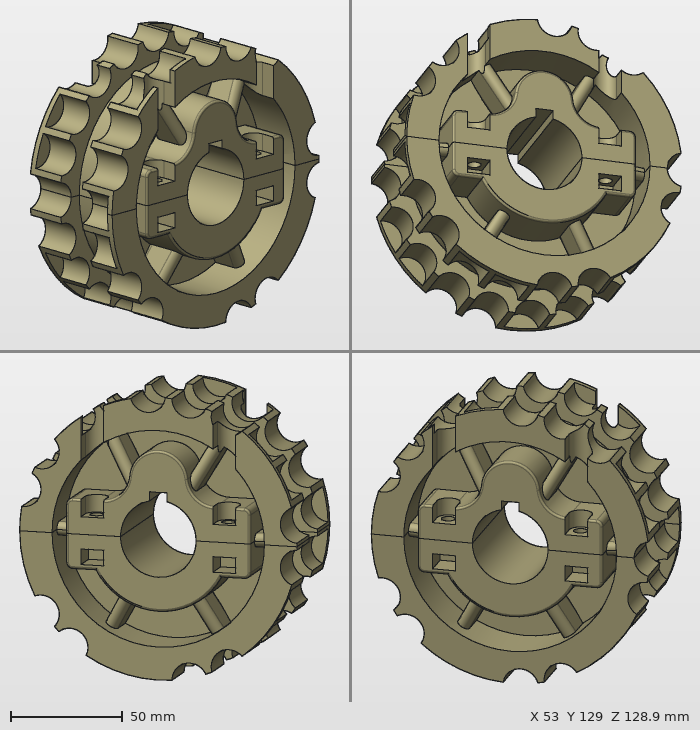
import cadquery as cq
import math


width = 53.0
rim_radius = 64.5
groove_radius = 52.5
groove_width = 13.8
inner_radius = 49.4
web_thickness = 7.5

pocket_count = 21
pocket_pitch = 360 / pocket_count
first_pocket_angle = pocket_pitch / 4
pocket_radius = 8.3
pocket_center_radius = 65.8
pocket_wall = 3.0

dome_top = 40.1
dome_radius = 13.5
neck_radius = 13.0
belly_radius = 33.3
lug_reach = 42.8
lug_height = 16.0
lug_corner_radius = 2.8
hub_edge_radius = 1.0

bore_radius = 17.5
keyway_width = 8.1
keyway_top = 21.2

bolt_offset = 30.7
slot_width = 10.6
slot_depth = 12.4
seat_height = 8.0
bolt_hole_radius = 3.1
nut_slot_top = -6.7
nut_slot_bottom = -13.8

rib_count = 6
first_rib_angle = 30
rib_thickness = 6.2
rib_reach = 18.6
rib_slope = 10

half_width = width / 2
slot_radius = slot_width / 2
bolt_x = half_width - slot_depth + slot_radius
bolt_places = [(side, side * bolt_x, y) for side in (-1, 1) for y in (-bolt_offset, bolt_offset)]


def disc(radius, length):
    """Disc around the X axis, centered on X = 0."""
    return cq.Workplane("YZ", origin=(-length / 2, 0, 0)).circle(radius).extrude(length)


def ring(outer, inner, length):
    return disc(outer, length).cut(disc(inner, length))


def make_pocket(number):
    """Round tooth pocket: the top one runs through both flanges, the rest stop at a wall on one side.

    After the top pocket, two pockets closed on the +X side alternate with two closed on the -X side.
    """
    start = -half_width
    end = half_width
    if number > 0 and number % 4 in (1, 2):
        end -= pocket_wall
    elif number > 0:
        start += pocket_wall
    pocket = (
        cq.Workplane("YZ", origin=(start, 0, 0))
        .center(pocket_center_radius, 0)
        .circle(pocket_radius)
        .extrude(end - start)
    )
    angle = 90 + first_pocket_angle + number * pocket_pitch
    return pocket.rotate((0, 0, 0), (1, 0, 0), angle)


def make_bolt_slot(side, x, y, bottom, top):
    """Vertical U-shaped slot around a bolt axis, open at the end face on the given side."""
    height = top - bottom
    round_end = cq.Workplane("XY", origin=(x, y, bottom)).circle(slot_radius).extrude(height)
    mouth_length = half_width - bolt_x
    mouth = (
        cq.Workplane("XY", origin=(x + side * mouth_length / 2, y, bottom))
        .rect(mouth_length, slot_width)
        .extrude(height)
    )
    return round_end.union(mouth)


def make_rim():
    """Flanges with tooth pockets and a groove between them, closed inside by the web."""
    rim = ring(rim_radius, inner_radius, width)
    rim = rim.cut(ring(rim_radius, groove_radius, groove_width))
    for number in range(pocket_count):
        rim = rim.cut(make_pocket(number))
    return rim.union(disc(inner_radius, web_thickness))


def make_rib(side, angle):
    """Rib on one side of the web, turned by an angle from +Z.

    Its round tip reaches rib_reach from the middle plane at the rim and further toward the hub.
    """
    tip_x = side * (rib_reach - rib_thickness / 2)
    rib = (
        cq.Workplane("XY", origin=(0, 0, bore_radius))
        .center(side * rib_reach / 2, 0)
        .slot2D(rib_reach, rib_thickness)
        .extrude(groove_radius - bore_radius)
    )
    rib = rib.rotate((tip_x, 0, inner_radius), (tip_x, 1, inner_radius), -side * rib_slope)
    return rib.rotate((0, 0, 0), (1, 0, 0), angle)


def make_ribs():
    """Radial ribs on both sides of the web, ending inside the rim."""
    ribs = cq.Workplane("XY")
    for number in range(rib_count):
        for side in (-1, 1):
            ribs = ribs.add(make_rib(side, first_rib_angle + number * 360 / rib_count))
    rib_end_radius = (inner_radius + groove_radius) / 2
    return ribs.combine().intersect(disc(rib_end_radius, width))


def make_hub():
    """Solid hub over the full width, with rounded lug corners and rounded edges at the end faces."""
    dome_z = dome_top - dome_radius
    neck_z = lug_height + neck_radius
    center_distance = dome_radius + neck_radius
    neck_y = math.sqrt(center_distance**2 - (neck_z - dome_z) ** 2)
    joint_y = neck_y * dome_radius / center_distance
    joint_z = dome_z + (neck_z - dome_z) * dome_radius / center_distance
    belly_y = math.sqrt(belly_radius**2 - lug_height**2)

    outline = (
        cq.Workplane("YZ", origin=(-half_width, 0, 0))
        .moveTo(-joint_y, joint_z)
        .threePointArc((0, dome_top), (joint_y, joint_z))
        .tangentArcPoint((neck_y, lug_height), relative=False)
        .lineTo(lug_reach, lug_height)
        .lineTo(lug_reach, -lug_height)
        .lineTo(belly_y, -lug_height)
        .threePointArc((0, -belly_radius), (-belly_y, -lug_height))
        .lineTo(-lug_reach, -lug_height)
        .lineTo(-lug_reach, lug_height)
        .lineTo(-neck_y, lug_height)
        .tangentArcPoint((-joint_y, joint_z), relative=False)
        .close()
    )
    hub = outline.extrude(width)
    hub = hub.faces("<Y or >Y").edges("|X").fillet(lug_corner_radius)
    return hub.faces("<X or >X").edges().fillet(hub_edge_radius)


def make_bolt_holes():
    """Bolt holes from the seats down to the nut slots, and the nut slots open at the end faces."""
    nut_slot_height = nut_slot_top - nut_slot_bottom
    holes = cq.Workplane("XY")
    for side, x, y in bolt_places:
        hole = (
            cq.Workplane("XY", origin=(x, y, nut_slot_top))
            .circle(bolt_hole_radius)
            .extrude(seat_height - nut_slot_top)
        )
        nut_slot = (
            cq.Workplane("XY", origin=(side * (half_width - slot_depth / 2), y, nut_slot_bottom))
            .rect(slot_depth, slot_width)
            .extrude(nut_slot_height)
        )
        holes = holes.add(hole.union(nut_slot))
    return holes.combine()


def make_shaft_bore():
    keyway = (
        cq.Workplane("YZ", origin=(-half_width, 0, 0))
        .center(0, keyway_top / 2)
        .rect(keyway_width, keyway_top)
        .extrude(width)
    )
    return disc(bore_radius, width).union(keyway)


def make_half(sprocket, direction):
    """Part of the sprocket above (direction 1) or below (direction -1) the plane Z = 0."""
    side_block = cq.Workplane("XY").rect(width, 2 * rim_radius).extrude(direction * rim_radius)
    return sprocket.intersect(side_block)


sprocket = make_rim().union(make_ribs()).union(make_hub())
for side, x, y in bolt_places:
    sprocket = sprocket.cut(make_bolt_slot(side, x, y, seat_height, rim_radius))
sprocket = sprocket.cut(make_bolt_holes()).cut(make_shaft_bore())

upper_half = make_half(sprocket, 1)
lower_half = make_half(sprocket, -1)

result = cq.Compound.makeCompound([upper_half.val(), lower_half.val()])